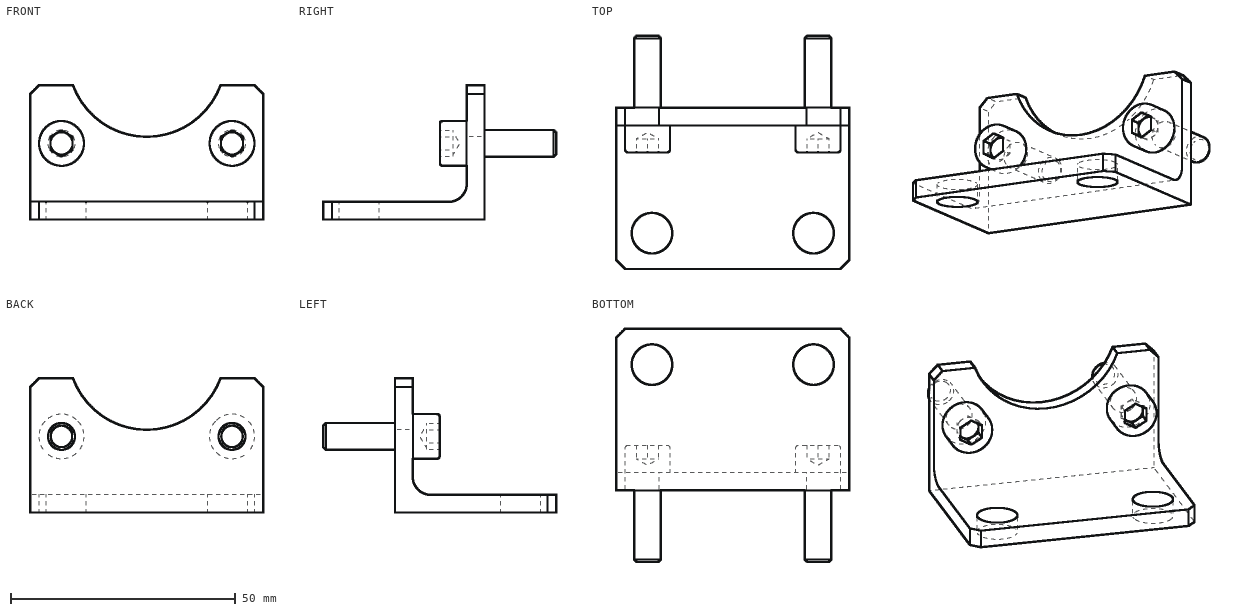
import cadquery as cq
import math

width = 52.0
depth = 36.0
height = 30.0
thickness = 4.0
inner_radius = 4.0
corner_chamfer = 2.0

cradle_radius = 17.5
cradle_centre_z = 36.0

mount_hole_diameter = 9.0
mount_hole_spacing = 36.0
mount_hole_y = 8.0

screw_spacing = 38.0
screw_z = 17.0
shank_diameter = 6.0
shank_projection = 16.0
shank_chamfer = 0.6
head_diameter = 10.0
head_height = 6.0
head_fillet = 0.6
socket_across_flats = 5.0
socket_depth = 3.0
socket_tip_angle = 120.0

wall_front_y = depth - thickness
head_front_y = wall_front_y - head_height


def make_angle():
    """L-shaped section with a rounded inner corner, extruded along X."""
    return (
        cq.Workplane("YZ")
        .polyline([
            (0, 0),
            (depth, 0),
            (depth, height),
            (wall_front_y, height),
            (wall_front_y, thickness),
            (0, thickness),
        ])
        .close()
        .extrude(width / 2, both=True)
        .edges(cq.selectors.NearestToPointSelector((0, wall_front_y, thickness)))
        .fillet(inner_radius)
    )


def chamfer_corners(angle):
    """Bevel the two front corners of the base and the two top corners of the wall."""
    angle = angle.faces("<Y").edges("|Z").chamfer(corner_chamfer)
    return angle.faces(">Z").edges("|Y").chamfer(corner_chamfer)


def make_cradle():
    """Cutter for the cradle: a cylinder along Y centred above the wall top."""
    return (
        cq.Workplane("XZ", origin=(0, depth, 0))
        .center(0, cradle_centre_z)
        .circle(cradle_radius)
        .extrude(thickness)
    )


def make_mount_holes():
    """Cutters for the two holes through the base."""
    half_spacing = mount_hole_spacing / 2
    return (
        cq.Workplane("XY")
        .pushPoints([(-half_spacing, mount_hole_y), (half_spacing, mount_hole_y)])
        .circle(mount_hole_diameter / 2)
        .extrude(thickness)
    )


def make_socket(x):
    """Hexagonal socket, corners up and down, with a conical drill point at its floor."""
    hexagon = (
        cq.Workplane("XZ", origin=(x, head_front_y, screw_z))
        .polygon(6, socket_across_flats, circumscribed=True)
        .extrude(-socket_depth)
    )
    tip_radius = socket_across_flats / 2
    tip_height = tip_radius / math.tan(math.radians(socket_tip_angle / 2))
    tip = cq.Workplane(obj=cq.Solid.makeCone(
        tip_radius,
        0,
        tip_height,
        pnt=cq.Vector(x, head_front_y + socket_depth, screw_z),
        dir=cq.Vector(0, 1, 0),
    ))
    return hexagon.union(tip)


def make_screw(x):
    """Cap screw along Y with its head seated on the front of the wall."""
    head = (
        cq.Workplane("XZ", origin=(x, wall_front_y, screw_z))
        .circle(head_diameter / 2)
        .extrude(head_height)
        .faces("<Y")
        .edges()
        .fillet(head_fillet)
    )
    shank = (
        cq.Workplane("XZ", origin=(x, wall_front_y, screw_z))
        .circle(shank_diameter / 2)
        .extrude(-(thickness + shank_projection))
        .faces(">Y")
        .edges()
        .chamfer(shank_chamfer)
    )
    return head.union(shank).cut(make_socket(x))


result = chamfer_corners(make_angle()).cut(make_cradle()).cut(make_mount_holes())
for side in (-1, 1):
    result = result.union(make_screw(side * screw_spacing / 2))